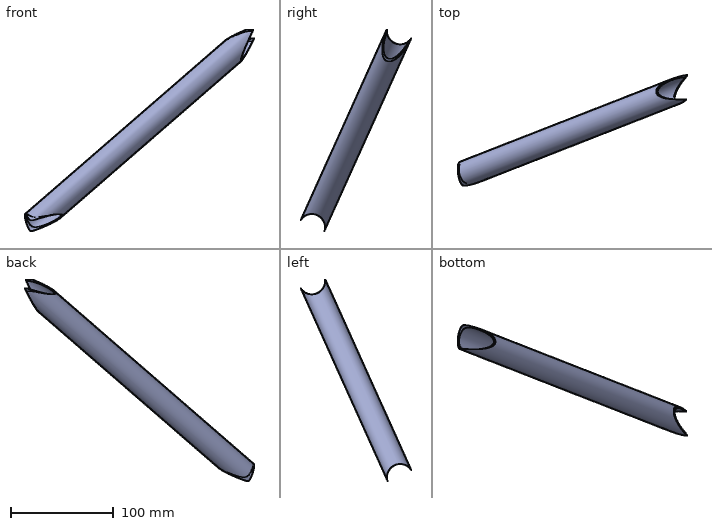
import cadquery as cq

tube_diameter = 25.5
wall = 1.1
saddle_diameter = 25.6

run_x = 219.5
run_y = 85.8
run_z = 190.5

top_height = 96.5

mitre_normal = cq.Vector(0.91, -0.17, -0.37)
mitre_distance = 56.9

overhang = 0.15
cutter_length = 446.0
waste_size = 133.8

tube_radius = tube_diameter / 2
run = cq.Vector(run_x, run_y, run_z)
lower_centre = run * -0.5
upper_centre = run * 0.5


def tube_blank():
    """Hollow tube along the run, longer than needed at both ends."""
    start = lower_centre - run * overhang
    length = run.Length * (1 + 2 * overhang)
    plane = cq.Plane(origin=start.toTuple(), normal=run.toTuple())
    return cq.Workplane(plane).circle(tube_radius).circle(tube_radius - wall).extrude(length)


def saddle_cutter(centre, outward):
    """Cylinder along X, plus a block covering everything beyond its centre."""
    plane = cq.Plane(
        origin=(-cutter_length / 2, centre.y, centre.z),
        xDir=(0, outward * run_y, outward * run_z),
        normal=(1, 0, 0),
    )
    section = cq.Workplane(plane)
    saddle = section.circle(saddle_diameter / 2).extrude(cutter_length)
    waste = section.center(waste_size / 2, 0).rect(waste_size, waste_size).extrude(cutter_length)
    return saddle.union(waste)


def mitre_cutter():
    """Block on the outward side of the mitre plane, around the upper end."""
    normal = mitre_normal.normalized()
    origin = upper_centre + normal * (mitre_distance - upper_centre.dot(normal))
    plane = cq.Plane(origin=origin.toTuple(), normal=normal.toTuple())
    return cq.Workplane(plane).rect(waste_size, waste_size).extrude(waste_size)


def tip_trimmer():
    """Block above the flat trim of the upper tip."""
    plane = cq.Plane(origin=(upper_centre.x, upper_centre.y, top_height))
    return cq.Workplane(plane).rect(waste_size, waste_size).extrude(waste_size)


result = (
    tube_blank()
    .cut(saddle_cutter(lower_centre, -1))
    .cut(saddle_cutter(upper_centre, 1))
    .cut(mitre_cutter())
    .cut(tip_trimmer())
)